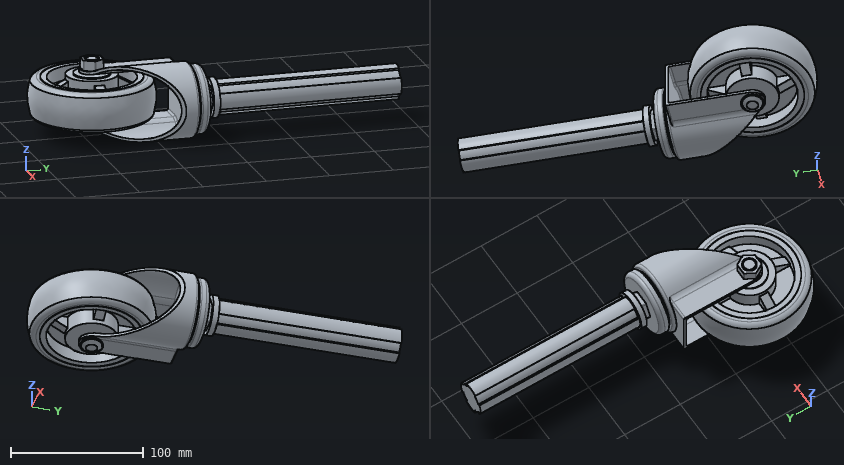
import cadquery as cq
import math

WHEEL_RADIUS = 48.93
TREAD_EDGE_RADIUS = 46.97
TREAD_EDGE_Z = 12.72
SHOULDER_RADIUS = 42.1
TYRE_HALF_WIDTH = 15.66
CORE_RADIUS = 39.14
CORE_HALF_WIDTH = 15.2
POCKET_RADIUS = 68.5 / 2
HUB_RADIUS = 40.12 / 2
HUB_HALF_WIDTH = 17.61
WEB_HALF_WIDTH = 4.0
RIB_COUNT = 4
RIB_WIDTH = 7.83
RIB_HUB_Z = 14.0
RIB_RIM_Z = 6.0

SWIVEL_RADIUS = 29.36
SWIVEL_X = SWIVEL_RADIUS
SHEET = 2.45
LEG_INNER_Z = 19.57
LEG_OUTER_Z = LEG_INNER_Z + SHEET
LEG_TIP_RADIUS = LEG_INNER_Z / 2
LEG_FLAT_END_X = 7.0
FORK_TOP_Y = 68.5
FORK_TOP_FILLET = 2.2
BRIDGE_TOP_Y = 65.4
BRIDGE_FILLET = 1.6
CEILING_Y = BRIDGE_TOP_Y - SHEET
CEILING_FILLET = 1.6
SKIRT_CORNER_Y = 57.1

HEX_SIDES = 6
BEARING_NECK_RADIUS = 24.5
BEARING_RADIUS = 26.91
BEARING_BOTTOM_Y = 70.1
BEARING_TOP_Y = 78.0
BEARING_TOP_FILLET = 3.43
BEARING_BOTTOM_FILLET = 0.8
HEX_ACROSS_FLATS = 21.53
HEX_EDGE_FILLET = 0.98
COLLAR_BOTTOM_Y = 83.18
COLLAR_TOP_Y = 88.07
COLLAR_RADIUS = 31.31 / 2
OVERALL_LENGTH = 280.35
STEM_TOP_Y = OVERALL_LENGTH - WHEEL_RADIUS
STEM_RADIUS = 13.7
STEM_CORE_RADIUS = 11.74
STEM_LOBES = 4
STEM_LOBE_ANGLE = 55.0

AXLE_RADIUS = 11.25 / 2
AXLE_END_CHAMFER = 0.9
OVERALL_HEIGHT = 59.29
NUT_TOP_Z = OVERALL_HEIGHT - SWIVEL_RADIUS
NUT_ACROSS_FLATS = 16.15
NUT_EDGE_FILLET = 0.8
SPACER_RADIUS = 28.38 / 2
SPACER_THICKNESS = 0.98
BOLT_COLLAR_RADIUS = 15.66 / 2
BOLT_HEAD_RADIUS = 17.61 / 2
BOLT_HEAD_Z = -23.8
BOLT_HEAD_RIM = 0.5
BOLT_END_Z = -26.3
BOLT_END_RADIUS = 4.4


def disc_y(radius, bottom, top):
    """Cylinder on the swivel axis between two Y levels."""
    return cq.Workplane("XZ", origin=(SWIVEL_X, bottom, 0)).circle(radius).extrude(bottom - top)


def disc_z(radius, bottom, top):
    """Cylinder on the axle between two Z levels."""
    return cq.Workplane("XY").workplane(offset=bottom).circle(radius).extrude(top - bottom)


def hex_corner_diameter(across_flats):
    """Diameter through the corners of a hexagon."""
    return across_flats / math.cos(math.pi / HEX_SIDES)


def make_tyre():
    """Ring with a crowned tread and rounded shoulders."""
    shoulder_drop = TYRE_HALF_WIDTH - TREAD_EDGE_Z
    shoulder_reach = TREAD_EDGE_RADIUS - SHOULDER_RADIUS
    shoulder_arc = (shoulder_reach**2 + shoulder_drop**2) / (2 * shoulder_drop)
    half_angle = math.asin(shoulder_reach / shoulder_arc) / 2
    mid_r = SHOULDER_RADIUS + shoulder_arc * math.sin(half_angle)
    mid_z = TYRE_HALF_WIDTH - shoulder_arc * (1 - math.cos(half_angle))
    return (
        cq.Workplane("YZ")
        .moveTo(CORE_RADIUS, -TYRE_HALF_WIDTH)
        .lineTo(SHOULDER_RADIUS, -TYRE_HALF_WIDTH)
        .threePointArc((mid_r, -mid_z), (TREAD_EDGE_RADIUS, -TREAD_EDGE_Z))
        .threePointArc((WHEEL_RADIUS, 0), (TREAD_EDGE_RADIUS, TREAD_EDGE_Z))
        .threePointArc((mid_r, mid_z), (SHOULDER_RADIUS, TYRE_HALF_WIDTH))
        .lineTo(CORE_RADIUS, TYRE_HALF_WIDTH)
        .close()
        .revolve(360, (0, 0, 0), (0, 1, 0))
    )


def make_core():
    """Rim, web and hub with sloping ribs between hub and rim, bored for the axle."""
    rim = disc_z(CORE_RADIUS, -CORE_HALF_WIDTH, CORE_HALF_WIDTH)
    pocket = disc_z(POCKET_RADIUS, -HUB_HALF_WIDTH, HUB_HALF_WIDTH)
    core = rim.cut(pocket)
    core = core.union(disc_z(POCKET_RADIUS, -WEB_HALF_WIDTH, WEB_HALF_WIDTH))
    core = core.union(disc_z(HUB_RADIUS, -HUB_HALF_WIDTH, HUB_HALF_WIDTH))
    rib = (
        cq.Workplane("XZ")
        .moveTo(0, RIB_HUB_Z)
        .lineTo(HUB_RADIUS, RIB_HUB_Z)
        .lineTo(POCKET_RADIUS, RIB_RIM_Z)
        .lineTo(POCKET_RADIUS, -RIB_RIM_Z)
        .lineTo(HUB_RADIUS, -RIB_HUB_Z)
        .lineTo(0, -RIB_HUB_Z)
        .close()
        .extrude(RIB_WIDTH / 2, both=True)
        .intersect(pocket)
    )
    for index in range(RIB_COUNT):
        core = core.union(rib.rotate((0, 0, 0), (0, 0, 1), index * 360 / RIB_COUNT))
    return core.cut(disc_z(AXLE_RADIUS, -HUB_HALF_WIDTH, HUB_HALF_WIDTH))


def fork_bar(radius, leg_z, end_x, top):
    """Flat-sided bar along Y whose sides flare by hollow arcs into a round of the given radius."""
    dx = SWIVEL_X - LEG_FLAT_END_X
    blend_radius = (dx**2 + leg_z**2 - radius**2) / (2 * (radius - leg_z))
    blend_angle = math.atan2(dx, leg_z + blend_radius)

    def on_blend(turn, side):
        x = LEG_FLAT_END_X + blend_radius * math.sin(turn)
        z = leg_z + blend_radius * (1 - math.cos(turn))
        return (x, side * z)

    return (
        cq.Workplane("XZ", origin=(0, -LEG_TIP_RADIUS, 0))
        .moveTo(end_x, leg_z)
        .lineTo(LEG_FLAT_END_X, leg_z)
        .threePointArc(on_blend(blend_angle / 2, 1), on_blend(blend_angle, 1))
        .lineTo(SWIVEL_X, 0)
        .lineTo(*on_blend(blend_angle, -1))
        .threePointArc(on_blend(blend_angle / 2, -1), (LEG_FLAT_END_X, -leg_z))
        .lineTo(end_x, -leg_z)
        .close()
        .extrude(-(top + LEG_TIP_RADIUS))
    )


def make_fork_side_outline():
    """Side shape of the fork: legs rounded about the axle, skirt edge sloping up from the tips."""
    corner = (SWIVEL_X + SWIVEL_RADIUS, SKIRT_CORNER_Y)
    corner_angle = math.atan2(corner[1], corner[0])
    tangent_angle = corner_angle - math.acos(LEG_TIP_RADIUS / math.hypot(*corner))

    def on_tip(angle):
        return (LEG_TIP_RADIUS * math.cos(angle), LEG_TIP_RADIUS * math.sin(angle))

    return (
        cq.Workplane("XY")
        .moveTo(-LEG_TIP_RADIUS, FORK_TOP_Y)
        .lineTo(corner[0], FORK_TOP_Y)
        .lineTo(*corner)
        .lineTo(*on_tip(tangent_angle))
        .threePointArc(on_tip((tangent_angle - math.pi) / 2), (-LEG_TIP_RADIUS, 0))
        .close()
        .extrude(SWIVEL_RADIUS, both=True)
    )


def make_fork():
    """Open-sided sheet fork under a round top plate, before the axle holes are cut."""
    bar = fork_bar(SWIVEL_RADIUS, LEG_OUTER_Z, -LEG_TIP_RADIUS, BRIDGE_TOP_Y)
    bar = bar.faces(">Y").edges("|X").fillet(BRIDGE_FILLET)
    drum = disc_y(SWIVEL_RADIUS, -LEG_TIP_RADIUS, FORK_TOP_Y)
    drum = drum.faces(">Y").edges().fillet(FORK_TOP_FILLET)

    inner_radius = SWIVEL_RADIUS - SHEET
    cavity = fork_bar(inner_radius, LEG_INNER_Z, -2 * LEG_TIP_RADIUS, CEILING_Y)
    cavity = cavity.union(disc_y(inner_radius, -LEG_TIP_RADIUS, CEILING_Y))
    cavity = cavity.faces(">Y").edges("not(<X)").fillet(CEILING_FILLET)

    return bar.union(drum).cut(cavity).intersect(make_fork_side_outline())


def make_bearing():
    """Rounded cup standing on a narrower neck above the fork."""
    cup = disc_y(BEARING_RADIUS, BEARING_BOTTOM_Y, BEARING_TOP_Y)
    cup = cup.faces(">Y").edges().fillet(BEARING_TOP_FILLET)
    cup = cup.faces("<Y").edges().fillet(BEARING_BOTTOM_FILLET)
    return cup.union(disc_y(BEARING_NECK_RADIUS, FORK_TOP_Y, BEARING_BOTTOM_Y))


def make_hex_spacer():
    """Hexagon between bearing and collar, with rounded corners."""
    return (
        cq.Workplane("XZ", origin=(SWIVEL_X, BEARING_TOP_Y, 0))
        .polygon(HEX_SIDES, hex_corner_diameter(HEX_ACROSS_FLATS))
        .extrude(BEARING_TOP_Y - COLLAR_BOTTOM_Y)
        .edges("|Y")
        .fillet(HEX_EDGE_FILLET)
    )


def make_stem():
    """Round core carrying four lobes with radial side walls."""
    stem = disc_y(STEM_CORE_RADIUS, COLLAR_TOP_Y, STEM_TOP_Y)
    half = math.radians(STEM_LOBE_ANGLE / 2)
    corner_x = STEM_RADIUS * math.cos(half)
    corner_z = STEM_RADIUS * math.sin(half)
    lobe = (
        cq.Workplane("XZ", origin=(SWIVEL_X, COLLAR_TOP_Y, 0))
        .lineTo(corner_x, corner_z)
        .threePointArc((STEM_RADIUS, 0), (corner_x, -corner_z))
        .close()
        .extrude(COLLAR_TOP_Y - STEM_TOP_Y)
    )
    axis_start = (SWIVEL_X, 0, 0)
    axis_end = (SWIVEL_X, 1, 0)
    for index in range(STEM_LOBES):
        stem = stem.union(lobe.rotate(axis_start, axis_end, index * 360 / STEM_LOBES))
    return stem


def make_bolt():
    """Axle with a chamfered end, a collar under the lower leg and a tapered head."""
    rim_z = BOLT_HEAD_Z - BOLT_HEAD_RIM
    return (
        cq.Workplane("XZ")
        .moveTo(0, NUT_TOP_Z)
        .lineTo(AXLE_RADIUS - AXLE_END_CHAMFER, NUT_TOP_Z)
        .lineTo(AXLE_RADIUS, NUT_TOP_Z - AXLE_END_CHAMFER)
        .lineTo(AXLE_RADIUS, -LEG_OUTER_Z)
        .lineTo(BOLT_COLLAR_RADIUS, -LEG_OUTER_Z)
        .lineTo(BOLT_COLLAR_RADIUS, BOLT_HEAD_Z)
        .lineTo(BOLT_HEAD_RADIUS, BOLT_HEAD_Z)
        .lineTo(BOLT_HEAD_RADIUS, rim_z)
        .lineTo(BOLT_END_RADIUS, BOLT_END_Z)
        .lineTo(0, BOLT_END_Z)
        .close()
        .revolve(360, (0, 0, 0), (0, 1, 0))
    )


def make_nut():
    """Hexagon nut with rounded corners on top of the upper leg."""
    nut = (
        cq.Workplane("XY")
        .workplane(offset=LEG_OUTER_Z)
        .polygon(HEX_SIDES, hex_corner_diameter(NUT_ACROSS_FLATS))
        .extrude(NUT_TOP_Z - LEG_OUTER_Z)
        .edges("|Z")
        .fillet(NUT_EDGE_FILLET)
    )
    return nut.cut(disc_z(AXLE_RADIUS, LEG_OUTER_Z, NUT_TOP_Z))


def make_spacer():
    """Washer lying on top of the hub."""
    top = HUB_HALF_WIDTH + SPACER_THICKNESS
    spacer = disc_z(SPACER_RADIUS, HUB_HALF_WIDTH, top)
    return spacer.cut(disc_z(AXLE_RADIUS, HUB_HALF_WIDTH, top))


tyre = make_tyre()
core = make_core()
bolt = make_bolt()
nut = make_nut()
fork = make_fork().cut(bolt).cut(nut)
bearing = make_bearing()
hex_spacer = make_hex_spacer()
collar = disc_y(COLLAR_RADIUS, COLLAR_BOTTOM_Y, COLLAR_TOP_Y)
stem = make_stem()
spacer = make_spacer()

bodies = [tyre, core, fork, bearing, hex_spacer, collar, stem, bolt, nut, spacer]
result = cq.Compound.makeCompound([body.solids().val() for body in bodies])